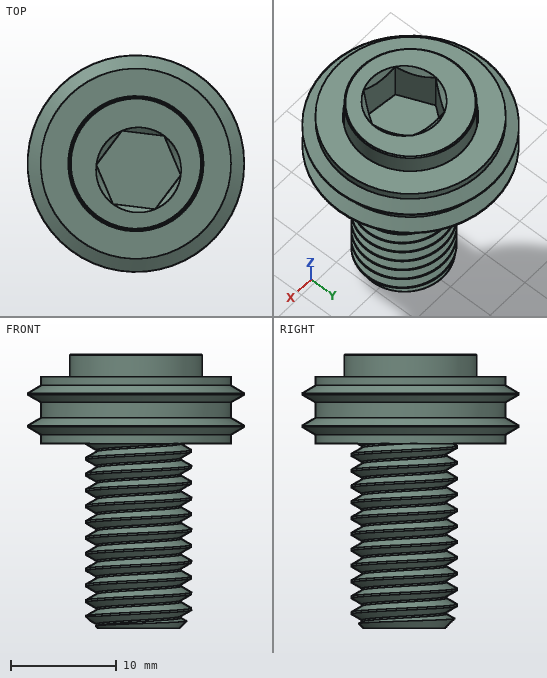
import cadquery as cq
import math

TOTAL_HEIGHT = 26.0
RING_BOTTOM = 17.5
RING_HEIGHT = 6.37

RING_RADIUS = 9.02
RIDGE_RADIUS = 20.57 / 2
RIDGE_OFFSET = 1.53
RIDGE_BASE = 1.6
RIDGE_CREST = 0.13
BORE_RADIUS = 6.42

LIP_RADIUS = 5.85
LIP_THICKNESS = 1.05

HEAD_RADIUS = 6.3
HEAD_CHAMFER = 0.13
SHANK_LENGTH = RING_BOTTOM + LIP_THICKNESS
HEAD_HEIGHT = TOTAL_HEIGHT - SHANK_LENGTH

ECCENTRICITY = 0.65
ECCENTRIC_ANGLE = -67.0
AXIS_X = ECCENTRICITY * math.cos(math.radians(ECCENTRIC_ANGLE))
AXIS_Y = ECCENTRICITY * math.sin(math.radians(ECCENTRIC_ANGLE))

HEX_FLATS = 7.0
HEX_CORNERS = HEX_FLATS / math.cos(math.radians(30))
SOCKET_DEPTH = 4.68
LEAD_IN_SLOPE = 45.0

MAJOR_RADIUS = 5.02
ROOT_RADIUS = 4.03
TEN_TURN_RISE = 15.0
PITCH = TEN_TURN_RISE / 10
THREAD_CREST = PITCH / 8
FLANK_ANGLE = 30.0
THREAD_PHASE = 1.07
TIP_RADIUS = 3.87
ROOT_OVERLAP = 0.08
TRIM_CLEARANCE = 0.52


def make_ring():
    middle = RING_BOTTOM + RING_HEIGHT / 2
    outline = [(LIP_RADIUS, RING_BOTTOM), (RING_RADIUS, RING_BOTTOM)]
    for crest in (middle - RIDGE_OFFSET, middle + RIDGE_OFFSET):
        outline += [
            (RING_RADIUS, crest - RIDGE_BASE / 2),
            (RIDGE_RADIUS, crest - RIDGE_CREST / 2),
            (RIDGE_RADIUS, crest + RIDGE_CREST / 2),
            (RING_RADIUS, crest + RIDGE_BASE / 2),
        ]
    ring_top = RING_BOTTOM + RING_HEIGHT
    outline += [(RING_RADIUS, ring_top), (BORE_RADIUS, ring_top)]
    outline += [(BORE_RADIUS, SHANK_LENGTH), (LIP_RADIUS, SHANK_LENGTH)]
    return cq.Workplane("XZ").polyline(outline).close().revolve(360, (0, 0), (0, 1))


def make_thread_ridge():
    """Right-handed helical ridge about Z, overrunning both ends of the shank."""
    start = THREAD_PHASE - 2 * PITCH
    turns = math.ceil((SHANK_LENGTH - start) / PITCH) + 1
    inner = ROOT_RADIUS - ROOT_OVERLAP
    crest_half = THREAD_CREST / 2
    base_half = crest_half + (MAJOR_RADIUS - inner) * math.tan(math.radians(FLANK_ANGLE))
    profile = [
        (inner, -base_half),
        (MAJOR_RADIUS, -crest_half),
        (MAJOR_RADIUS, crest_half),
        (inner, base_half),
    ]
    helix = cq.Wire.makeHelix(PITCH, turns * PITCH, ROOT_RADIUS)
    ridge = cq.Workplane("XZ").polyline(profile).close().sweep(cq.Workplane(helix), isFrenet=True)
    return ridge.rotate((0, 0, 0), (0, 0, 1), 180).translate((0, 0, start))


def make_point_cutter():
    """Ring of triangular section that leaves a 45 degree point on the shank."""
    reach = MAJOR_RADIUS + TRIM_CLEARANCE - TIP_RADIUS
    corners = [
        (TIP_RADIUS - TRIM_CLEARANCE, -TRIM_CLEARANCE),
        (TIP_RADIUS + reach, -TRIM_CLEARANCE),
        (TIP_RADIUS + reach, reach),
    ]
    return cq.Workplane("XZ").polyline(corners).close().revolve(360, (0, 0), (0, 1))


def make_shank():
    trim = cq.Workplane("XY").circle(MAJOR_RADIUS + TRIM_CLEARANCE).extrude(SHANK_LENGTH)
    core = cq.Workplane("XY").circle(ROOT_RADIUS).extrude(SHANK_LENGTH)
    threaded = core.union(make_thread_ridge().intersect(trim))
    return threaded.cut(make_point_cutter()).translate((AXIS_X, AXIS_Y, 0))


def make_socket():
    hexagon = (
        cq.Workplane("XY")
        .polygon(6, HEX_CORNERS)
        .extrude(SOCKET_DEPTH)
        .rotate((0, 0, 0), (0, 0, 1), ECCENTRIC_ANGLE)
        .translate((AXIS_X, AXIS_Y, TOTAL_HEIGHT - SOCKET_DEPTH))
    )
    mouth_radius = HEX_CORNERS / 2
    cone_depth = mouth_radius * math.tan(math.radians(LEAD_IN_SLOPE))
    mouth_center = cq.Vector(AXIS_X, AXIS_Y, TOTAL_HEIGHT)
    cone = cq.Solid.makeCone(mouth_radius, 0, cone_depth, mouth_center, cq.Vector(0, 0, -1))
    lead_in = cq.Workplane(cone)
    return hexagon.union(lead_in)


def make_screw():
    head = (
        cq.Workplane("XY", origin=(0, 0, SHANK_LENGTH))
        .circle(HEAD_RADIUS)
        .extrude(HEAD_HEIGHT)
        .faces(">Z")
        .chamfer(HEAD_CHAMFER)
    )
    return head.union(make_shank()).cut(make_socket())


ring = make_ring()
screw = make_screw()
result = cq.Compound.makeCompound([ring.val(), *screw.solids().vals()])